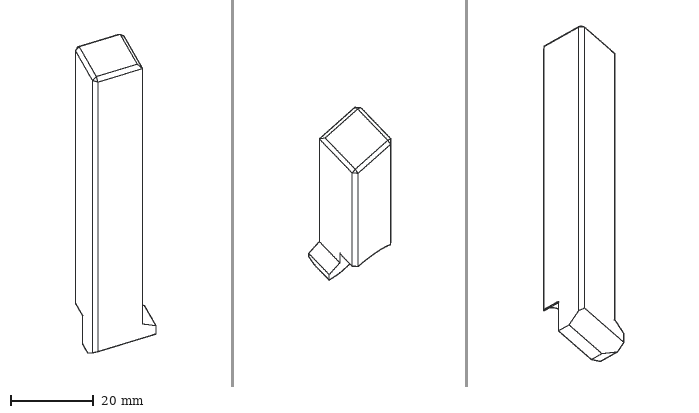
import cadquery as cq
import math

SHANK_SIDE = 12.7
LENGTH = 100.0
EDGE_CHAMFER = 1.0

TOOTH_REACH = 3.5
TOOTH_FLANK_ANGLE = 30.0
TOOTH_ROOT_HEIGHT = 9.0

RELIEF_DEPTH = 5.4
RELIEF_RADIUS = 14.1
RELIEF_TOP = 17.2
RELIEF_FRONT_HEIGHT = 10.0

TIP_BEVEL = 4.0


def make_shank():
    bar = cq.Workplane("XY").box(SHANK_SIDE, SHANK_SIDE, LENGTH, centered=False)
    return bar.edges("(|Z and (<X or <Y)) or >Z").chamfer(EDGE_CHAMFER)


def make_tooth():
    """Nose profile in the YZ plane, standing on the back face."""
    flank_rise = TOOTH_REACH * math.tan(math.radians(TOOTH_FLANK_ANGLE))
    crest_y = SHANK_SIDE + TOOTH_REACH
    return (
        cq.Workplane("YZ")
        .moveTo(SHANK_SIDE, 0)
        .lineTo(crest_y, flank_rise)
        .lineTo(crest_y, TOOTH_ROOT_HEIGHT - flank_rise)
        .lineTo(SHANK_SIDE, TOOTH_ROOT_HEIGHT)
        .close()
        .extrude(SHANK_SIDE)
    )


def arch_run(height):
    """Distance in front of the back face at which the relief roof has fallen to this height."""
    rise = height - (RELIEF_TOP - RELIEF_RADIUS)
    return math.sqrt(RELIEF_RADIUS**2 - rise**2)


def make_relief():
    """Roof profile: level at the back face, arching down to a narrow flat at the front."""
    tooth_crest_y = SHANK_SIDE + TOOTH_REACH
    mid_height = (RELIEF_TOP + RELIEF_FRONT_HEIGHT) / 2
    arch_middle = (SHANK_SIDE - arch_run(mid_height), mid_height)
    arch_end = (SHANK_SIDE - arch_run(RELIEF_FRONT_HEIGHT), RELIEF_FRONT_HEIGHT)
    return (
        cq.Workplane("YZ")
        .lineTo(tooth_crest_y, 0)
        .lineTo(tooth_crest_y, RELIEF_TOP)
        .lineTo(SHANK_SIDE, RELIEF_TOP)
        .threePointArc(arch_middle, arch_end)
        .lineTo(0, RELIEF_FRONT_HEIGHT)
        .close()
        .extrude(RELIEF_DEPTH)
    )


def make_tip_bevel():
    return (
        cq.Workplane("XZ")
        .moveTo(SHANK_SIDE - TIP_BEVEL, 0)
        .lineTo(SHANK_SIDE, 0)
        .lineTo(SHANK_SIDE, TIP_BEVEL)
        .close()
        .extrude(-(SHANK_SIDE + TOOTH_REACH))
    )


result = make_shank().union(make_tooth()).cut(make_relief()).cut(make_tip_bevel())